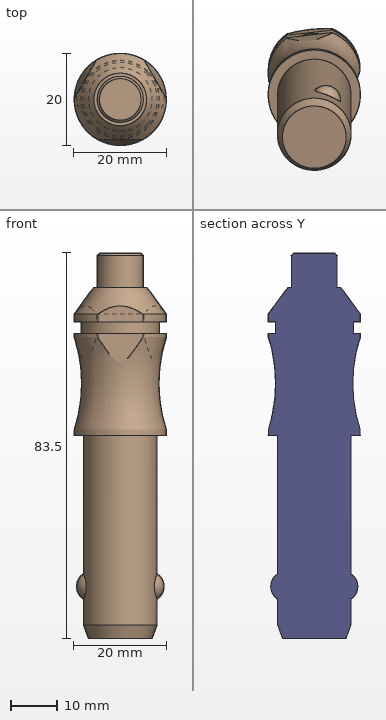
import cadquery as cq

shank_radius = 8.0
shank_length = 44.0
tip_radius = 6.9
tip_length = 3.0

rim_radius = 10.0
waist_radius = 8.4
lower_rim_height = 1.25
waist_span = 20.0
upper_rim_height = 0.85
groove_radius = 8.5
groove_width = 2.5
cap_rim_height = 1.7
cap_cone_height = 4.8
cap_cone_top_radius = 6.55
cap_edge_height = 0.75
cap_edge_radius = 5.9
cap_bevel_height = 0.25
cap_top_radius = 5.7

button_radius = 5.0
total_length = 83.5
button_chamfer = 0.5

flat_distance = 8.73
flat_count = 3
first_flat_angle = -90.0

ball_radius = 3.25
ball_reach = 9.5
ball_height = 11.3

waist_start_z = shank_length + lower_rim_height
waist_z = waist_start_z + waist_span / 2
waist_end_z = waist_start_z + waist_span
groove_bottom_z = waist_end_z + upper_rim_height
groove_top_z = groove_bottom_z + groove_width
cone_start_z = groove_top_z + cap_rim_height
cone_end_z = cone_start_z + cap_cone_height
cap_edge_z = cone_end_z + cap_edge_height
cap_top_z = cap_edge_z + cap_bevel_height


def make_body():
    """Revolve the whole pin: shank, waisted grip, grooved cap and button."""
    profile = (
        cq.Workplane("XZ")
        .moveTo(0, 0)
        .lineTo(tip_radius, 0)
        .lineTo(shank_radius, tip_length)
        .lineTo(shank_radius, shank_length)
        .lineTo(rim_radius, shank_length)
        .lineTo(rim_radius, waist_start_z)
        .threePointArc((waist_radius, waist_z), (rim_radius, waist_end_z))
        .lineTo(rim_radius, groove_bottom_z)
        .lineTo(groove_radius, groove_bottom_z)
        .lineTo(groove_radius, groove_top_z)
        .lineTo(rim_radius, groove_top_z)
        .lineTo(rim_radius, cone_start_z)
        .lineTo(cap_cone_top_radius, cone_end_z)
        .lineTo(cap_edge_radius, cap_edge_z)
        .lineTo(cap_top_radius, cap_top_z)
        .lineTo(button_radius, cap_top_z)
        .lineTo(button_radius, total_length - button_chamfer)
        .lineTo(button_radius - button_chamfer, total_length)
        .lineTo(0, total_length)
        .close()
    )
    return profile.revolve(360, (0, 0, 0), (0, 1, 0))


def make_flat_cutter(angle):
    """Block whose inner face lies on one flat, from the waist up to the cap top."""
    return (
        cq.Workplane("XY")
        .workplane(offset=waist_z)
        .center(flat_distance + rim_radius / 2, 0)
        .rect(rim_radius, 2 * rim_radius)
        .extrude(cap_top_z - waist_z)
        .rotate((0, 0, 0), (0, 0, 1), angle)
    )


def make_ball(side):
    """Locking ball protruding from the shank on the given side of X."""
    center_x = side * (ball_reach - ball_radius)
    return cq.Workplane("XY").sphere(ball_radius).translate((center_x, 0, ball_height))


def cut_grip_flats(body):
    """Cut the evenly spaced flats around the upper grip and the cap."""
    for index in range(flat_count):
        angle = first_flat_angle + index * 360 / flat_count
        body = body.cut(make_flat_cutter(angle))
    return body


def add_balls(body):
    """Join a locking ball to each side of the shank."""
    for side in (-1, 1):
        body = body.union(make_ball(side))
    return body


result = add_balls(cut_grip_flats(make_body()))